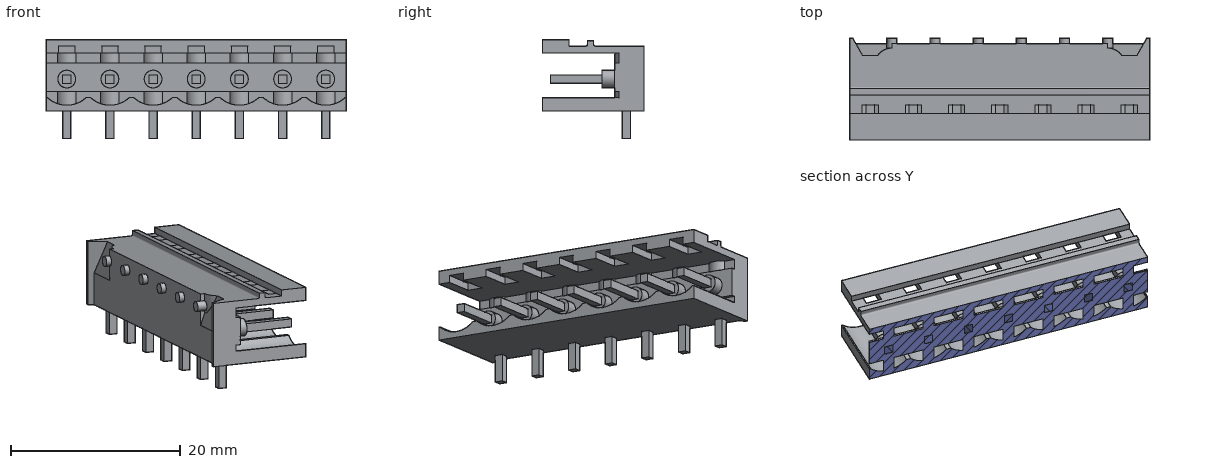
import cadquery as cq
import math


LENGTH = 35.35
DEPTH = 12.0
HEIGHT = 8.4
DECK_Z = 7.67

PIN_COUNT = 7
PIN_END_MARGIN = 2.45
PITCH = (LENGTH - 2 * PIN_END_MARGIN) / (PIN_COUNT - 1)
PIN_SIZE = 1.0
PIN_AXIS_Z = 3.8
PIN_TIP_Y = 0.95
LEG_AXIS_Y = 9.9
LEG_BOTTOM_Z = -3.22

CAVITY_BACK_Y = 9.05
CAVITY_TOP_Z = 6.82
CREST_Z = 1.6
TROUGH_Z = 0.7
TROUGH_RADIUS = 3.35
BAND_FRONT_Y = 8.52
BAND_BOTTOM_Z = 2.35
BAND_TOP_Z = 5.65
LEG_RIDGE_RADIUS = LEG_AXIS_Y - BAND_FRONT_Y
COLLAR_DIAMETER = 2.1
COLLAR_LENGTH = 1.52

LIP_DEPTH = 3.15
WINDOW_WIDTH = 1.9
WINDOW_DEPTH = 4.15
RIB_FRONT_Y = 5.3
RIB_WIDTH = 0.75
RIB_TOP_Z = 8.3
RIB_FILLET = 0.18

REAR_WALL_Y = 11.35
WING_TIP_WIDTH = 0.4
NOTCH_FRONT_Y = 9.97
NOTCH_NEAR_X = 1.52
NOTCH_FAR_X = 3.32
NOTCH_STEP_Y = 10.82
NOTCH_RAMP_ANGLE = 70.0
PEG_COUNT = PIN_COUNT - 1
PEG_DIAMETER = 1.2
PEG_AXIS_Z = 6.22

END_X = LENGTH / 2


def row(count):
    """X positions of a centred row at the pin pitch."""
    return [(i - (count - 1) / 2) * PITCH for i in range(count)]


def block(x_range, y_range, z_range):
    """Box between the given limits."""
    size = [high - low for low, high in (x_range, y_range, z_range)]
    corner = (x_range[0], y_range[0], z_range[0])
    return cq.Workplane("XY").box(*size, centered=False).translate(corner)


def full_width(y_range, z_range):
    """Box running the whole length of the housing."""
    return block((-END_X, END_X), y_range, z_range)


def cylinder_along_y(x, z, diameter, y_range):
    """Round bar parallel to Y."""
    start, end = y_range
    return cq.Workplane("XZ", origin=(x, start, z)).circle(diameter / 2).extrude(start - end)


def make_pin(x):
    """Right-angle pin: a contact reaching forward and a leg reaching down."""
    half = PIN_SIZE / 2
    x_range = (x - half, x + half)
    leg_back = LEG_AXIS_Y + half
    top = PIN_AXIS_Z + half
    contact = block(x_range, (PIN_TIP_Y, leg_back), (PIN_AXIS_Z - half, top))
    leg = block(x_range, (LEG_AXIS_Y - half, leg_back), (LEG_BOTTOM_Z, top))
    return contact.union(leg)


def make_trough(x):
    """Round cutter that hollows one trough into the cavity floor."""
    axis_z = TROUGH_Z + TROUGH_RADIUS
    trough = cylinder_along_y(x, axis_z, 2 * TROUGH_RADIUS, (0, CAVITY_BACK_Y))
    below_crests = full_width((0, CAVITY_BACK_Y), (0, CREST_Z))
    return trough.intersect(below_crests)


def make_leg_ridge(x):
    """Rounded ridge around a pin leg, bulging out of the cavity's back wall."""
    ridge = (
        cq.Workplane("XY", origin=(x, LEG_AXIS_Y, 0))
        .circle(LEG_RIDGE_RADIUS)
        .extrude(CAVITY_TOP_Z)
    )
    in_front = full_width((BAND_FRONT_Y, CAVITY_BACK_Y), (0, CAVITY_TOP_Z))
    return ridge.intersect(in_front)


def make_rib():
    """Rib along the deck with a small fillet at each foot."""
    back = RIB_FRONT_Y + RIB_WIDTH
    rib = full_width((RIB_FRONT_Y, back), (DECK_Z, RIB_TOP_Z))
    foot = full_width((RIB_FRONT_Y - RIB_FILLET, back + RIB_FILLET), (DECK_Z, DECK_Z + RIB_FILLET))
    for y in (RIB_FRONT_Y - RIB_FILLET, back + RIB_FILLET):
        hollow = (
            cq.Workplane("YZ", origin=(-END_X, y, DECK_Z + RIB_FILLET))
            .circle(RIB_FILLET)
            .extrude(LENGTH)
        )
        foot = foot.cut(hollow)
    return rib.union(foot)


def wing_inner_x(y):
    """Distance of a wing's slanted inner face from the end of the housing."""
    slant = (NOTCH_NEAR_X - WING_TIP_WIDTH) / (DEPTH - NOTCH_FRONT_Y)
    return WING_TIP_WIDTH + (DEPTH - y) * slant


def make_rear_recess():
    """Cutter that sets the rear face back between the wings."""
    tip_x = END_X - WING_TIP_WIDTH
    wall_x = END_X - wing_inner_x(REAR_WALL_Y)
    return (
        cq.Workplane("XY")
        .polyline([(-tip_x, DEPTH), (tip_x, DEPTH), (wall_x, REAR_WALL_Y), (-wall_x, REAR_WALL_Y)])
        .close()
        .extrude(HEIGHT)
    )


def make_notch():
    """Cutter for the left rear notch, with a floor that ramps down toward the rear."""
    inner_x = row(PEG_COUNT)[0]
    far_x = -END_X + NOTCH_FAR_X
    step = NOTCH_STEP_Y - NOTCH_FRONT_Y
    run = inner_x - far_x
    radius = (run**2 + step**2) / (2 * step)
    half_turn = math.asin(run / radius) / 2
    arc_mid = (
        inner_x - radius * math.sin(half_turn),
        NOTCH_STEP_Y - radius * (1 - math.cos(half_turn)),
    )
    outline = (
        cq.Workplane("XY")
        .moveTo(-END_X + WING_TIP_WIDTH, DEPTH)
        .lineTo(-END_X + NOTCH_NEAR_X, NOTCH_FRONT_Y)
        .lineTo(far_x, NOTCH_FRONT_Y)
        .threePointArc(arc_mid, (inner_x, NOTCH_STEP_Y))
        .lineTo(inner_x, DEPTH)
        .close()
        .extrude(DECK_Z)
    )
    ramp_drop = (DEPTH - NOTCH_FRONT_Y) * math.tan(math.radians(NOTCH_RAMP_ANGLE))
    above_ramp = (
        cq.Workplane("YZ", origin=(-END_X, 0, 0))
        .polyline([(NOTCH_FRONT_Y, DECK_Z), (DEPTH, DECK_Z), (DEPTH, DECK_Z - ramp_drop)])
        .close()
        .extrude(LENGTH)
    )
    return outline.intersect(above_ramp)


def make_housing():
    body = full_width((0, DEPTH), (0, DECK_Z))
    body = body.union(full_width((0, LIP_DEPTH), (DECK_Z, HEIGHT)))
    body = body.union(make_rib())

    body = body.cut(full_width((0, CAVITY_BACK_Y), (CREST_Z, CAVITY_TOP_Z)))
    body = body.union(full_width((BAND_FRONT_Y, CAVITY_BACK_Y), (BAND_BOTTOM_Z, BAND_TOP_Z)))
    collar_range = (BAND_FRONT_Y - COLLAR_LENGTH, BAND_FRONT_Y)
    for x in row(PIN_COUNT):
        body = body.cut(make_trough(x))
        window_x = (x - WINDOW_WIDTH / 2, x + WINDOW_WIDTH / 2)
        body = body.cut(block(window_x, (0, WINDOW_DEPTH), (CAVITY_TOP_Z, DECK_Z)))
    for x in row(PIN_COUNT):
        body = body.union(make_leg_ridge(x))
        body = body.union(cylinder_along_y(x, PIN_AXIS_Z, COLLAR_DIAMETER, collar_range))

    notch = make_notch()
    body = body.cut(make_rear_recess())
    body = body.cut(notch).cut(notch.mirror("YZ"))
    for x in row(PEG_COUNT):
        body = body.union(cylinder_along_y(x, PEG_AXIS_Z, PEG_DIAMETER, (NOTCH_STEP_Y, DEPTH)))

    for x in row(PIN_COUNT):
        body = body.cut(make_pin(x))
    return body


housing = make_housing()
pins = [make_pin(x) for x in row(PIN_COUNT)]

result = cq.Compound.makeCompound([housing.val(), *[pin.val() for pin in pins]])